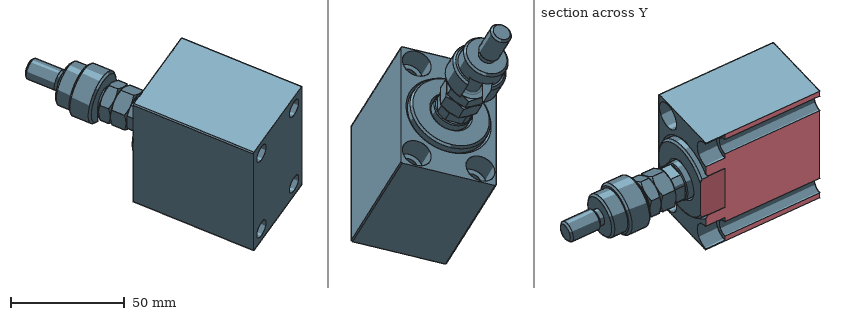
import cadquery as cq
import math


COUPLER_NECK_START = 15.0
COLLAR_START = 18.1
SLOT_START = 24.4
BIG_COLLAR_START = 25.9
COUPLER_END = 37.1
PIN_HEX_START = 38.9
NUT_HEX_START = 44.9
ROD_START = 52.8
ROD_SHOULDER = 58.0
GLAND_START = 61.0
BLOCK_START = 64.0
BLOCK_END = 124.0

BLOCK_WIDTH = 45.0
BLOCK_HEIGHT = 65.0
BLOCK_EDGE_CHAMFER = 0.6
BOLT_SPACING_Y = 30.0
BOLT_SPACING_Z = 50.0
BOLT_HOLE_DIAMETER = 8.5
COUNTERBORE_DIAMETER = 13.5
COUNTERBORE_DEPTH = 10.0

GLAND_RADIUS = 19.0
GLAND_SEAT_DEPTH = 10.0
GLAND_CHAMFER = 1.0
GLAND_BORE_CHAMFER = 1.0
SEAT_COUNTERSINK = 1.1
GLAND_END = BLOCK_START + GLAND_SEAT_DEPTH

ROD_RADIUS = 9.0
WRENCH_RADIUS = 8.5
WRENCH_FLATS = 15.1

THREAD_RADIUS = 5.0
HEX_FLATS = 16.9
HEX_CORNER_RADIUS = HEX_FLATS / math.sqrt(3)
HEX_FACE_RADIUS = 8.3
HEX_CHAMFER_LENGTH = 0.9
PIN_FILLET = 1.0

NECK_RADIUS = 4.0
COLLAR_RADIUS = 10.5
BIG_COLLAR_RADIUS = 12.5
COUPLER_CHAMFER = 1.0
SLOT_WIDTH = 10.8


def turned(points):
    """Solid of revolution about X from the (x, radius) points of its outer profile."""
    profile = [(points[0][0], 0)] + points + [(points[-1][0], 0)]
    return cq.Workplane("XY").polyline(profile).close().revolve(360, (0, 0, 0), (1, 0, 0))


def cylinder(start, end, radius):
    return turned([(start, radius), (end, radius)])


def centred_box(start, end, width, height):
    """Box between two X stations, centred on the X axis."""
    return cq.Workplane("XY").box(end - start, width, height).translate(((start + end) / 2, 0, 0))


def make_block():
    block = centred_box(BLOCK_START, BLOCK_END, BLOCK_WIDTH, BLOCK_HEIGHT)
    block = block.edges("|X").chamfer(BLOCK_EDGE_CHAMFER)
    block = (
        block.faces("<X").workplane(centerOption="CenterOfBoundBox")
        .rarray(BOLT_SPACING_Y, BOLT_SPACING_Z, 2, 2)
        .cboreHole(BOLT_HOLE_DIAMETER, COUNTERBORE_DIAMETER, COUNTERBORE_DEPTH)
    )
    seat = turned([
        (BLOCK_START, GLAND_RADIUS + SEAT_COUNTERSINK),
        (BLOCK_START + SEAT_COUNTERSINK, GLAND_RADIUS),
        (GLAND_END, GLAND_RADIUS),
    ])
    return block.cut(seat)


def make_gland():
    gland = turned([
        (GLAND_START, GLAND_RADIUS - GLAND_CHAMFER),
        (GLAND_START + GLAND_CHAMFER, GLAND_RADIUS),
        (GLAND_END, GLAND_RADIUS),
    ])
    bore = turned([
        (GLAND_START, ROD_RADIUS + GLAND_BORE_CHAMFER),
        (GLAND_START + GLAND_BORE_CHAMFER, ROD_RADIUS),
        (GLAND_END, ROD_RADIUS),
    ])
    return gland.cut(bore)


def make_rod():
    wrench_section = cylinder(ROD_START, ROD_SHOULDER, WRENCH_RADIUS)
    wrench_section = wrench_section.intersect(
        centred_box(ROD_START, ROD_SHOULDER, WRENCH_FLATS, WRENCH_FLATS)
    )
    shaft = turned([
        (ROD_SHOULDER, WRENCH_RADIUS),
        (ROD_SHOULDER + ROD_RADIUS - WRENCH_RADIUS, ROD_RADIUS),
        (GLAND_END, ROD_RADIUS),
    ])
    return wrench_section.union(shaft)


def hexagon(start, end):
    """Hexagonal prism with corners up and down, both ends turned to a cone."""
    prism = (
        cq.Workplane("YZ", origin=(start, 0, 0))
        .polygon(6, 2 * HEX_CORNER_RADIUS)
        .extrude(end - start)
        .rotate((0, 0, 0), (1, 0, 0), 90)
    )
    envelope = turned([
        (start, HEX_FACE_RADIUS),
        (start + HEX_CHAMFER_LENGTH, HEX_CORNER_RADIUS),
        (end - HEX_CHAMFER_LENGTH, HEX_CORNER_RADIUS),
        (end, HEX_FACE_RADIUS),
    ])
    return prism.intersect(envelope)


def make_pin():
    arc_offset = PIN_FILLET * math.sqrt(0.5)
    fillet_start = PIN_HEX_START - PIN_FILLET
    fillet_radius = THREAD_RADIUS + PIN_FILLET
    shank = (
        cq.Workplane("XY")
        .moveTo(SLOT_START, 0)
        .lineTo(SLOT_START, THREAD_RADIUS)
        .lineTo(fillet_start, THREAD_RADIUS)
        .threePointArc(
            (fillet_start + arc_offset, fillet_radius - arc_offset),
            (PIN_HEX_START, fillet_radius),
        )
        .lineTo(PIN_HEX_START, 0)
        .close()
        .revolve(360, (0, 0, 0), (1, 0, 0))
    )
    pin_hex = hexagon(PIN_HEX_START, NUT_HEX_START)
    nut_hex = hexagon(NUT_HEX_START, ROD_START)
    return shank.union(pin_hex).union(nut_hex)


def make_coupler():
    coupler = turned([
        (0, THREAD_RADIUS - COUPLER_CHAMFER),
        (COUPLER_CHAMFER, THREAD_RADIUS),
        (COUPLER_NECK_START, THREAD_RADIUS),
        (COUPLER_NECK_START + THREAD_RADIUS - NECK_RADIUS, NECK_RADIUS),
        (COLLAR_START, NECK_RADIUS),
        (COLLAR_START, COLLAR_RADIUS - COUPLER_CHAMFER),
        (COLLAR_START + COUPLER_CHAMFER, COLLAR_RADIUS),
        (BIG_COLLAR_START, COLLAR_RADIUS),
        (BIG_COLLAR_START, BIG_COLLAR_RADIUS - COUPLER_CHAMFER),
        (BIG_COLLAR_START + COUPLER_CHAMFER, BIG_COLLAR_RADIUS),
        (COUPLER_END - COUPLER_CHAMFER, BIG_COLLAR_RADIUS),
        (COUPLER_END, BIG_COLLAR_RADIUS - COUPLER_CHAMFER),
    ])
    slot_opening = centred_box(SLOT_START, COUPLER_END, SLOT_WIDTH, BIG_COLLAR_RADIUS)
    slot_opening = slot_opening.translate((0, 0, -BIG_COLLAR_RADIUS / 2))
    slot_end = cylinder(SLOT_START, COUPLER_END, SLOT_WIDTH / 2)
    return coupler.cut(slot_opening).cut(slot_end)


block = make_block()
gland = make_gland()
rod = make_rod()
pin = make_pin()
coupler = make_coupler()

result = cq.Compound.makeCompound([block.val(), gland.val(), rod.val(), pin.val(), coupler.val()])